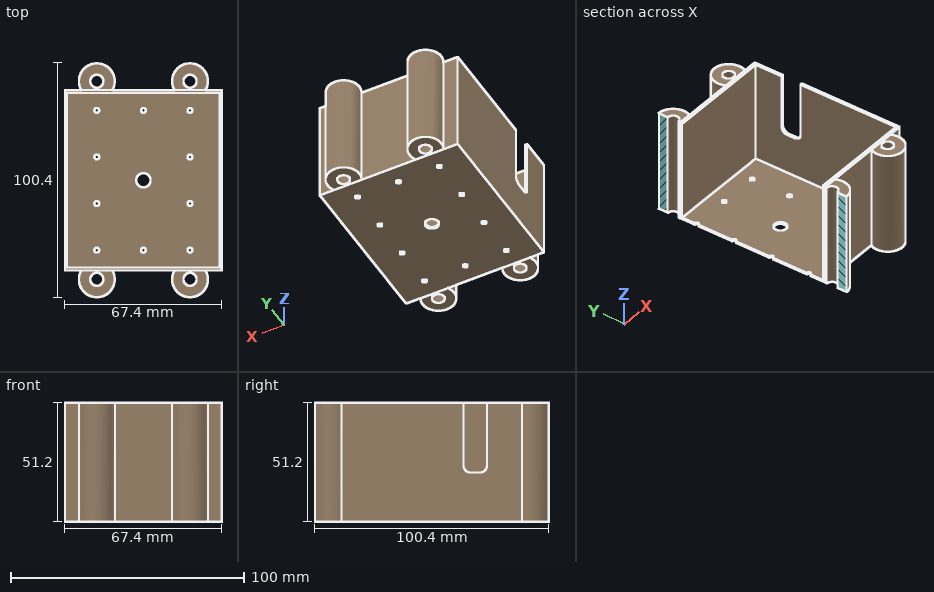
import cadquery as cq

overall_length = 100.4
height = 51.2

box_width = 67.4
box_length = 77.4
side_wall = 1.0
end_wall = 1.2
floor_thickness = 1.0

grid_pitch = 20.0
small_hole_diameter = 2.0
center_hole_diameter = 6.0

slot_width = 10.0
slot_depth = 30.0
slot_corner_radius = 3.0
slot_offset = 18.6

post_diameter = 15.5
post_hole_diameter = 5.5
post_x = grid_pitch
post_y = (overall_length - post_diameter) / 2


def make_block():
    """Solid outer envelope of the box, standing on Z = 0."""
    return cq.Workplane("XY").box(box_width, box_length, height, centered=(True, True, False))


def floor_hole_points():
    """Four rows of holes; only the two end rows have one in the middle column."""
    points = []
    for row in (-1.5, -0.5, 0.5, 1.5):
        is_end_row = abs(row) > 1
        columns = (-1, 0, 1) if is_end_row else (-1, 1)
        for column in columns:
            points.append((column * grid_pitch, row * grid_pitch))
    return points


def make_floor_holes():
    small_holes = (
        cq.Workplane("XY")
        .pushPoints(floor_hole_points())
        .circle(small_hole_diameter / 2)
        .extrude(floor_thickness)
    )
    center_hole = cq.Workplane("XY").circle(center_hole_diameter / 2).extrude(floor_thickness)
    return small_holes.union(center_hole)


def make_slot(side):
    """Cutter for one wall slot; side is -1 for the -X wall and 1 for the +X wall."""
    return (
        cq.Workplane("XY")
        .box(side_wall, slot_width, slot_depth, centered=(True, True, False))
        .edges("|X and <Z")
        .fillet(slot_corner_radius)
        .translate((side * (box_width - side_wall) / 2, side * slot_offset, height - slot_depth))
    )


def make_box():
    cavity = (
        cq.Workplane("XY")
        .workplane(offset=floor_thickness)
        .rect(box_width - 2 * side_wall, box_length - 2 * end_wall)
        .extrude(height - floor_thickness)
    )
    box = make_block().cut(cavity).cut(make_floor_holes())
    for side in (-1, 1):
        box = box.cut(make_slot(side))
    return box


def make_post(x, y):
    """Full-height tubular post, cut flat where it meets the end wall of the box."""
    post = (
        cq.Workplane("XY")
        .center(x, y)
        .circle(post_diameter / 2)
        .circle(post_hole_diameter / 2)
        .extrude(height)
    )
    return post.cut(make_block())


box = make_box()

posts = []
for x_side in (-1, 1):
    for y_side in (-1, 1):
        posts.append(make_post(x_side * post_x, y_side * post_y))

result = cq.Compound.makeCompound([box.val(), *[post.val() for post in posts]])